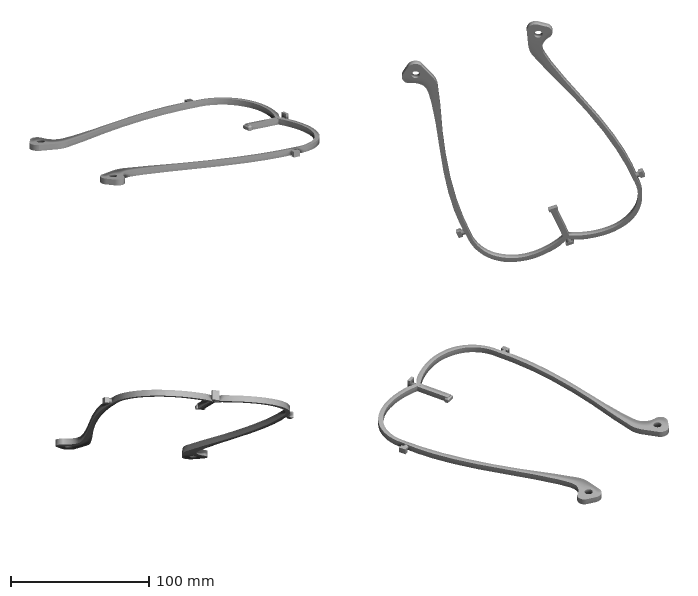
import cadquery as cq

frame_height = 4.4
crotch_outer = (0, 184.0)
crotch_inner = (0, 180.9)

arch_outer = [
    (7.7, 188.2), (17.2, 190.5), (28.0, 191.5), (38.5, 190.3), (50.2, 186.0), (58.4, 179.4),
    (63.5, 171.5), (66.6, 156.4),
]
leg_outer = [
    (67.2, 141.3), (65.7, 121.5), (60.1, 92.0), (51.5, 58.8), (46.5, 36.8),
]
foot_throat = [
    (45.2, 26.2), (46.1, 20.7), (49.0, 17.2), (54.7, 14.5),
]
toe_mid, toe_end = (58.2, 10.0), (56.5, 5.7)
sole_end = (51.1, 1.5)
heel_mid, heel_end = (46.0, 0), (41.2, 3.3)
ankle_start, ankle_mid, ankle_end = (37.5, 15.1), (36.5, 20.3), (37.5, 26.8)
leg_inner = [
    (40.2, 36.8), (47.3, 58.8), (56.5, 92.0), (61.8, 121.5), (63.5, 141.3), (63.7, 157.0),
]
arch_inner = [
    (60.7, 170.2), (56.3, 176.7), (49.0, 182.5), (40.5, 186.3), (29.0, 188.0), (17.6, 187.0),
    (8.2, 184.5), crotch_inner,
]
foot_hole_diameter = 6.0
foot_hole_center = (47.9, 9.2)

neck_diameter = 4.0
neck_center_z = 2.1
side_peg_y = 152.0
side_neck_root_x = 65
side_head_tip_x = 72.5
side_head_size = (3.3, 5.2, 4.2)
top_neck_root_y = 182.8
top_head_tip_y = 190.0
top_head_size = (5.7, 2.1, 7.0)

tongue_width = 4.4
tongue_height = 4.2
tongue_root_y = 181.9
tongue_end_y = 156.2
tip_end_y = 155.0
tip_size = (6.7, 3.0, 3.6)
tip_top_bevel = 1.0
tip_bottom_bevel = 0.8


def half_frame(side):
    """Half of the frame: side is +1 for the right half and -1 for the left half."""

    def place(point):
        return (side * point[0], point[1])

    outline = (
        cq.Workplane("XY")
        .moveTo(*place(crotch_outer))
        .spline([place(point) for point in arch_outer], includeCurrent=True)
        .spline([place(point) for point in leg_outer], includeCurrent=True)
        .spline([place(point) for point in foot_throat], includeCurrent=True)
        .threePointArc(place(toe_mid), place(toe_end))
        .lineTo(*place(sole_end))
        .threePointArc(place(heel_mid), place(heel_end))
        .lineTo(*place(ankle_start))
        .threePointArc(place(ankle_mid), place(ankle_end))
        .spline([place(point) for point in leg_inner], includeCurrent=True)
        .spline([place(point) for point in arch_inner], includeCurrent=True)
        .close()
    )
    hole = (
        cq.Workplane("XY")
        .center(*place(foot_hole_center))
        .circle(foot_hole_diameter / 2)
        .extrude(frame_height)
    )
    return outline.extrude(frame_height).cut(hole)


def side_peg():
    head_length = side_head_size[0]
    head = (
        cq.Workplane("XY")
        .box(*side_head_size, centered=(True, True, False))
        .translate((side_head_tip_x - head_length / 2, side_peg_y, 0))
    )
    neck = (
        cq.Workplane("YZ", origin=(side_neck_root_x, side_peg_y, neck_center_z))
        .circle(neck_diameter / 2)
        .extrude(side_head_tip_x - head_length / 2 - side_neck_root_x)
    )
    return head.union(neck)


def top_peg():
    head_center_y = top_head_tip_y - top_head_size[1] / 2
    head = (
        cq.Workplane("XY")
        .box(*top_head_size, centered=(True, True, False))
        .translate((0, head_center_y, 0))
    )
    neck = (
        cq.Workplane("XZ", origin=(0, head_center_y, neck_center_z))
        .circle(neck_diameter / 2)
        .extrude(head_center_y - top_neck_root_y)
    )
    return head.union(neck)


def tongue():
    length = tongue_root_y - tongue_end_y
    bar = (
        cq.Workplane("XY")
        .box(tongue_width, length, tongue_height, centered=(True, False, False))
        .translate((0, tongue_end_y, 0))
    )
    tip = (
        cq.Workplane("XY")
        .box(*tip_size, centered=(True, False, False))
        .faces(">Z")
        .edges("<Y or <X or >X")
        .chamfer(tip_top_bevel)
        .faces("<Z")
        .edges("<Y")
        .chamfer(tip_bottom_bevel)
        .translate((0, tip_end_y, 0))
    )
    return bar.union(tip)


right_peg = side_peg()
left_peg = right_peg.mirror("YZ")
result = half_frame(1).union(half_frame(-1))
for attachment in (right_peg, left_peg, top_peg(), tongue()):
    result = result.union(attachment)